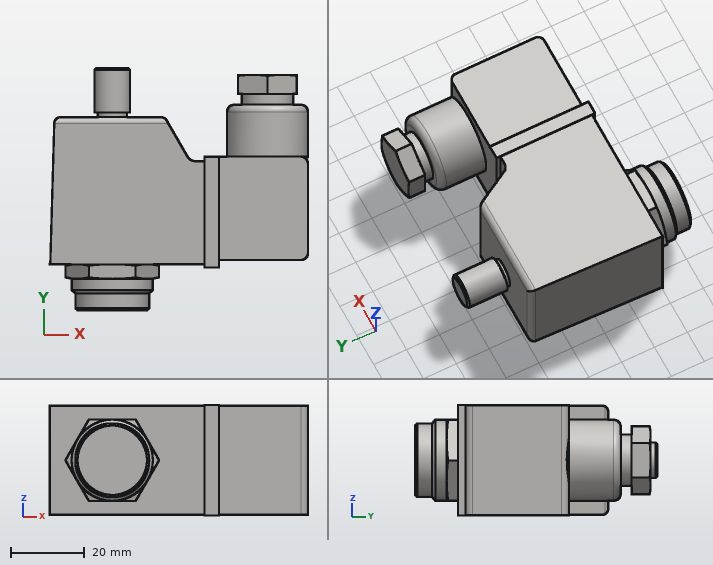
import cadquery as cq
import math

total_length = 70.0
front_end = -12.6
rear_end = 52.9

body_height = 29.6
body_depth = 39.7
body_draft = 1.3
slope_top_x = 31.2
base_lip = 0.2
base_thickness = 0.15
shelf_depth = 27.8
slope_angle = 60.0
edge_round = 1.75
valley_round = 2.45

flange_start = 41.9
flange_thickness = 4.0
flange_height = 30.0
flange_front = -1.05
flange_rear = 29.0
housing_front = 1.0
housing_round = 1.95

port_x = 17.0
port_hex_flats = 22.0
port_hex_end = -4.05
collar_diameter = 22.0
collar_end = -7.15
collar_step = 0.85
spigot_diameter = 20.0
spigot_chamfer = 0.6

pin_diameter = 9.7
pin_neck_diameter = 8.0
pin_start = 40.9
pin_chamfer = 0.55

gland_diameter = 22.0
gland_x = total_length - gland_diameter / 2
gland_shoulder = 43.05
gland_base = 28.3
gland_base_chamfer = 0.7
gland_round = 1.95
gland_neck_diameter = 14.0
gland_nut_start = 46.0
gland_nut_end = 51.1
gland_nut_flats = 15.95

hex_cone_angle = 12.0
overlap = 2.1


def block(x0, x1, y0, y1, height):
    """Box between the given X and Y limits, centred on Z = 0."""
    return (cq.Workplane("XY").box(x1 - x0, y1 - y0, height)
            .translate(((x0 + x1) / 2, (y0 + y1) / 2, 0)))


def plane_at(x, y):
    """Workplane facing +Y, with its local x along +X, centred on an axis parallel to Y."""
    return cq.Workplane(cq.Plane(origin=(x, y, 0), xDir=(1, 0, 0), normal=(0, 1, 0)))


def cylinder(x, y0, y1, diameter):
    return plane_at(x, y0).circle(diameter / 2).extrude(y1 - y0)


def hexagon(x, y0, y1, flats, turn, coned_ends):
    """Hexagonal prism along Y with corners turned down to a shallow cone at the chosen ends.

    The corners point to +X and -X when turn is zero.
    """
    corners = flats / math.cos(math.pi / 6)
    prism = plane_at(x, y0).polygon(6, corners).extrude(y1 - y0)
    prism = prism.rotate((x, 0, 0), (x, 1, 0), turn)
    run = (corners - flats) / 2
    drop = run * math.tan(math.radians(hex_cone_angle))
    turned_blank = cylinder(x, y0, y1, corners)
    for end in coned_ends:
        turned_blank = turned_blank.faces(end).chamfer(drop, run)
    return prism.intersect(turned_blank)


slope_run = (body_depth - shelf_depth) / math.tan(math.radians(slope_angle))
slope_foot_x = slope_top_x + slope_run
body = (
    cq.Workplane("XY", origin=(0, 0, -body_height / 2))
    .polyline([
        (base_lip, 0),
        (flange_start + overlap, 0),
        (flange_start + overlap, shelf_depth),
        (slope_foot_x, shelf_depth),
        (slope_top_x, body_depth),
        (body_draft, body_depth),
    ])
    .close()
    .extrude(body_height)
)
valley = cq.selectors.NearestToPointSelector((slope_foot_x, shelf_depth, 0))
body = body.edges(valley).fillet(valley_round)
body = body.faces(">Y").edges().fillet(edge_round)

base_plate = block(0, flange_start + overlap, -base_thickness, 0, body_height)

flange_end = flange_start + flange_thickness
flange = block(flange_start, flange_end, flange_front, flange_rear, flange_height)
housing = block(flange_end - overlap, total_length, housing_front, flange_rear, body_height)
housing = housing.edges("|Z and >X").fillet(housing_round)

port_hex = hexagon(port_x, port_hex_end, -base_thickness, port_hex_flats, 0, ("<Y", ">Y"))
collar = (
    plane_at(port_x, collar_end - collar_step)
    .circle(spigot_diameter / 2)
    .workplane(offset=collar_step)
    .circle(collar_diameter / 2)
    .loft()
    .union(cylinder(port_x, collar_end, 0, collar_diameter))
)
spigot = cylinder(port_x, front_end, 0, spigot_diameter).faces("<Y").chamfer(spigot_chamfer)

pin_neck = cylinder(port_x, body_depth - overlap, rear_end - overlap, pin_neck_diameter)
pin = cylinder(port_x, pin_start, rear_end, pin_diameter).faces(">Y").chamfer(pin_chamfer)

gland = cylinder(gland_x, gland_base, gland_shoulder, gland_diameter)
gland = gland.faces(">Y").edges().fillet(gland_round)
gland = gland.faces("<Y").chamfer(gland_base_chamfer)
gland_neck = cylinder(gland_x, gland_base, gland_nut_end - overlap, gland_neck_diameter)
gland_nut = hexagon(gland_x, gland_nut_start, gland_nut_end, gland_nut_flats, 30, (">Y",))

result = body
attached_parts = (
    base_plate, flange, housing,
    port_hex, collar, spigot,
    pin_neck, pin,
    gland, gland_neck, gland_nut,
)
for piece in attached_parts:
    result = result.union(piece)